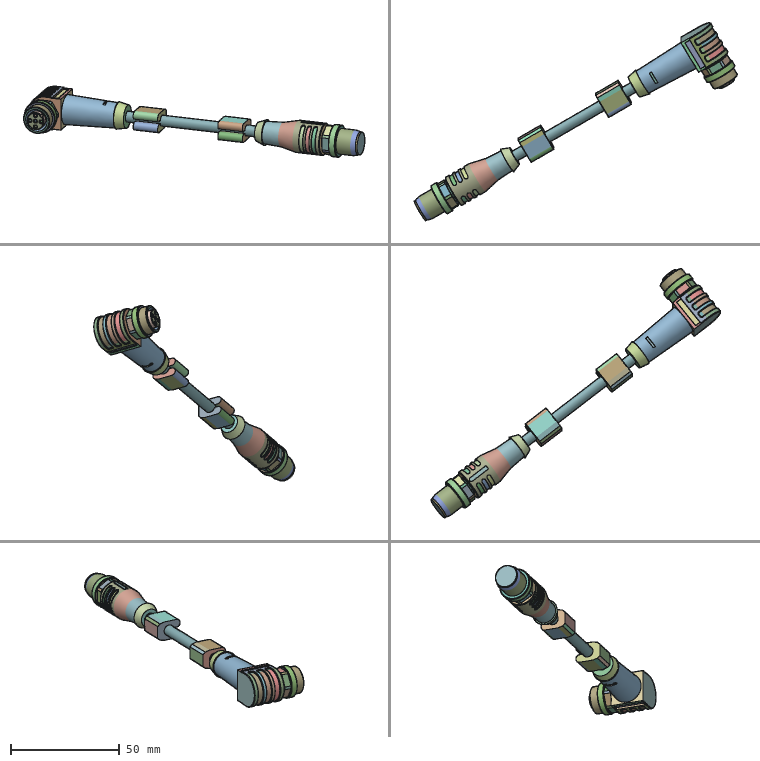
import cadquery as cq
import math


overall_length = 160.2
head_radius = 8.0
plug_tip_reach = 20.7
male_tip_x = overall_length - head_radius

cable_diameter = 5.1
male_neck_diameter = 9.3
female_neck_diameter = 10.0
collar_radius = 15.0 / 2
groove_depth = 0.5
overlap = 0.5

flange_end_x = 7.8
flange_start_x = 6.2
panel_start_x = 3.7
flange_half_height = 7.5
panel_recess = 0.5
panel_half_width = 7.0
head_groove_width = 3.0
head_groove_pitch = 4.5
head_groove_end_x = 2.1
head_groove_corner = 0.8
head_groove_bevel = 0.3
head_edge_chamfer = 0.3

boot_start_radius = 7.0
boot_waist_radius = 6.0
boot_ring_x = 33.0
boot_ring_radius = 6.4
boot_end_x = 37.6
boot_end_radius = 5.5
slit_x = 27.2
slit_width = 1.1
slit_half_length = 2.9

nut_start = 8.8
female_collar_start = 12.0
female_collar_end = 15.2
female_ring_end = 19.4
female_ring_radius = 12.8 / 2
female_mouth_radius = 10.5 / 2
socket_depth = 1.3
female_edge_chamfer = 0.3
insert_radius = 8.3 / 2
key_angle = -45
key_width = 1.1
key_depth = 0.6
contact_mouth_diameter = 2.0
contact_mouth_angle = 90
contact_diameter = 1.15
contact_circle_radius = 2.7
contact_depth = 4.8

nut_across_flats = 12.8
nut_corner_diameter = 14.1
collar_chamfer = 0.3

male_start_x = 101.5
male_ring_x = 105.5
male_start_radius = 4.5
male_ring_radius = 6.1
male_waist_radius = 5.3
male_flare_x = 113.7
male_flare_radius = 5.8
male_body_x = 121.4
male_body_end_x = 134.4
male_body_chamfer = 0.3
male_nut_x = 135.3
male_collar_x = 138.7
male_collar_end_x = 142.0
male_thread_radius = 12.0 / 2
male_thread_end_x = 149.1
male_taper_end_x = 151.4
male_taper_radius = 10.9 / 2
male_sleeve_radius = 10.5 / 2

grip_first_x = 125.3
grip_pitch = 3.0
grip_width = 2.0
grip_inner_y = 3.0
arrow_start_x = 123.2
arrow_shoulder_x = 132.8
arrow_tip_x = 133.7
arrow_half_width = 1.0
arrow_depth = 0.3

clip_starts = (42.6, 84.1)
clip_length = 12.0
clip_half_height = 9.1 / 2
clip_half_width = 12.0 / 2
clip_lobe_radius = 2.0
clip_gap_floor_y = -0.8
clip_top_end_y = 2.5
clip_shoulder_y = 4.8
clip_shoulder_z = 4.0
clip_side_z = 2.9


def turned_x(profile):
    """Solid of revolution about X from (x, radius) points."""
    outline = [(profile[0][0], 0)] + profile + [(profile[-1][0], 0)]
    return cq.Workplane("XY").polyline(outline).close().revolve(360, (0, 0, 0), (1, 0, 0))


def turned_y(profile):
    """Solid of revolution about -Y from (distance below the cable axis, radius) points."""
    outline = [(0, -profile[0][0])] + [(r, -d) for d, r in profile] + [(0, -profile[-1][0])]
    return cq.Workplane("XY").polyline(outline).close().revolve(360, (0, 0, 0), (0, 1, 0))


def chamfered_collar(start, end):
    """Collar profile with both edges broken."""
    small = collar_radius - collar_chamfer
    return [
        (start, small),
        (start + collar_chamfer, collar_radius),
        (end - collar_chamfer, collar_radius),
        (end, small),
    ]


def hex_nut(workplane, length):
    """Hexagon with its corners turned down."""
    across_corners = nut_across_flats / math.cos(math.pi / 6)
    hexagon = workplane.polygon(6, across_corners).extrude(length)
    return hexagon.intersect(workplane.circle(nut_corner_diameter / 2).extrude(length))


def head_blank(radius, half_length, end_x):
    """Half-round bar along Y, with flat top and bottom running to end_x."""
    return (
        cq.Workplane("XZ", origin=(0, half_length, 0))
        .moveTo(end_x, radius)
        .lineTo(0, radius)
        .threePointArc((-radius, 0), (0, -radius))
        .lineTo(end_x, -radius)
        .close()
        .extrude(2 * half_length)
    )


def angled_head():
    head = head_blank(head_radius, head_radius, panel_start_x)
    head = head.faces("<Y or >Y").chamfer(head_edge_chamfer)
    head = head.union(
        cq.Workplane("XY").box(flange_end_x, 2 * head_radius, 2 * flange_half_height, (False, True, True))
    )
    core = head_blank(head_radius - groove_depth, head_radius, flange_end_x)
    groove_length = head_groove_end_x + 2 * head_radius
    reach = head_radius - 0.5 * groove_depth
    floor_zone = ((-reach, -head_radius, -reach), (reach, head_radius, reach))
    for index in (-1, 0, 1):
        band = (
            cq.Workplane("XY")
            .center(head_groove_end_x - groove_length / 2, index * head_groove_pitch)
            .rect(groove_length, head_groove_width)
            .extrude(2 * head_radius, both=True)
            .edges("|Z and >X")
            .fillet(head_groove_corner)
        )
        cutter = band.cut(core)
        floor = cutter.faces(cq.selectors.BoxSelector(*floor_zone))
        head = head.cut(floor.edges("not |Y").chamfer(head_groove_bevel))
    panel_length = flange_start_x - panel_start_x
    for side in (-1, 1):
        panel = cq.Workplane("XY").box(panel_length, 2 * panel_half_width, 2 * panel_recess)
        panel_x = panel_start_x + panel_length / 2
        head = head.cut(panel.translate((panel_x, 0, side * flange_half_height)))
    return head


def boot():
    body = turned_x([
        (flange_end_x - overlap, boot_start_radius),
        (boot_ring_x, boot_waist_radius),
        (boot_ring_x, boot_ring_radius),
        (boot_end_x, boot_end_radius),
    ])
    local_radius = boot_waist_radius + (boot_start_radius - boot_waist_radius) * (
        (boot_ring_x - slit_x) / (boot_ring_x - flange_end_x)
    )
    floor_z = math.sqrt(local_radius**2 - slit_half_length**2)
    for side in (-1, 1):
        slit = cq.Workplane("XY").box(slit_width, 2 * head_radius, head_radius, (True, True, False))
        slit = slit.translate((slit_x, 0, floor_z))
        if side < 0:
            slit = slit.mirror("XY")
        body = body.cut(slit)
    return body


def female_plug():
    plug = turned_y([
        (head_radius - overlap, female_neck_diameter / 2),
        (nut_start + overlap, female_neck_diameter / 2),
    ])
    nut_plane = cq.Workplane("XZ", origin=(0, -nut_start, 0))
    plug = plug.union(hex_nut(nut_plane, female_collar_start - nut_start))
    plug = plug.union(turned_y(chamfered_collar(female_collar_start, female_collar_end)))
    plug = plug.union(turned_y([
        (female_collar_end - overlap, female_ring_radius),
        (female_ring_end - female_edge_chamfer, female_ring_radius),
        (female_ring_end, female_ring_radius - female_edge_chamfer),
    ]))
    plug = plug.cut(turned_y([
        (female_ring_end - socket_depth, insert_radius),
        (female_ring_end, female_mouth_radius),
    ]))
    return plug.union(contact_insert())


def contact_insert():
    insert = turned_y([
        (female_ring_end - socket_depth - overlap, insert_radius),
        (plug_tip_reach - female_edge_chamfer, insert_radius),
        (plug_tip_reach, insert_radius - female_edge_chamfer),
    ])
    key = cq.Workplane("XZ", origin=(0, socket_depth - female_ring_end, 0))
    key = key.center(insert_radius, 0).rect(2 * key_depth, key_width).extrude(plug_tip_reach)
    insert = insert.cut(key.rotate((0, 0, 0), (0, 1, 0), key_angle))
    places = [(0, 0)]
    for angle in (0, math.pi / 2, math.pi, 3 * math.pi / 2):
        places.append((contact_circle_radius * math.cos(angle), contact_circle_radius * math.sin(angle)))
    tip = cq.Workplane("XZ", origin=(0, -plug_tip_reach, 0))
    return insert.copyWorkplane(tip).pushPoints(places).cskHole(
        contact_diameter, contact_mouth_diameter, contact_mouth_angle, contact_depth
    )


def male_plug():
    body = turned_x([
        (male_start_x, male_start_radius),
        (male_ring_x, male_ring_radius),
        (male_ring_x, male_waist_radius),
        (male_flare_x, male_flare_radius),
        (male_body_x, collar_radius),
        (male_body_end_x - male_body_chamfer, collar_radius),
        (male_body_end_x, collar_radius - male_body_chamfer),
    ])
    body = body.cut(grip_grooves()).cut(arrow_mark())
    neck = turned_x([
        (male_body_end_x - overlap, male_neck_diameter / 2),
        (male_nut_x + overlap, male_neck_diameter / 2),
    ])
    nut_plane = cq.Workplane("YZ", origin=(male_nut_x, 0, 0)).transformed(rotate=(0, 0, 90))
    nut = hex_nut(nut_plane, male_collar_x - male_nut_x)
    collar = turned_x(chamfered_collar(male_collar_x, male_collar_end_x))
    thread = turned_x([
        (male_collar_end_x - overlap, male_thread_radius),
        (male_thread_end_x, male_thread_radius),
        (male_taper_end_x, male_taper_radius),
        (male_taper_end_x, male_sleeve_radius),
        (male_tip_x, male_sleeve_radius),
    ])
    return body.union(neck).union(nut).union(collar).union(thread)


def grip_grooves():
    """Three shallow bands on each side of the male body, with rounded ends at top and bottom."""
    band_length = 2 * collar_radius
    places = []
    for index in range(3):
        for side in (-1, 1):
            y = side * (grip_inner_y + band_length / 2)
            places.append((grip_first_x + index * grip_pitch, y))
    bands = (
        cq.Workplane("XY")
        .pushPoints(places)
        .slot2D(band_length, grip_width, 90)
        .extrude(2 * collar_radius, both=True)
    )
    core_radius = collar_radius - groove_depth
    return bands.cut(turned_x([(male_body_x, core_radius), (male_body_end_x, core_radius)]))


def arrow_mark():
    """Shallow arrow in the top of the male body, pointing at its coupling nut."""
    return (
        cq.Workplane("XY", origin=(0, 0, collar_radius - arrow_depth))
        .polyline([
            (arrow_start_x, -arrow_half_width),
            (arrow_shoulder_x, -arrow_half_width),
            (arrow_tip_x, 0),
            (arrow_shoulder_x, arrow_half_width),
            (arrow_start_x, arrow_half_width),
        ])
        .close()
        .extrude(collar_radius)
    )


def cable():
    radius = cable_diameter / 2
    return turned_x([(boot_end_x - overlap, radius), (male_start_x + overlap, radius)])


def clip(start_x):
    """Snap-on clip: closed at +Y, two round-nosed jaws with a gap at -Y."""
    lobe_y = clip_lobe_radius - clip_half_width
    lobe_z = clip_half_height - clip_lobe_radius
    gap_z = lobe_z - clip_lobe_radius
    return (
        cq.Workplane("YZ", origin=(start_x, 0, 0))
        .moveTo(clip_top_end_y, clip_half_height)
        .lineTo(lobe_y, clip_half_height)
        .threePointArc((-clip_half_width, lobe_z), (lobe_y, gap_z))
        .lineTo(clip_gap_floor_y, gap_z)
        .lineTo(clip_gap_floor_y, -gap_z)
        .lineTo(lobe_y, -gap_z)
        .threePointArc((-clip_half_width, -lobe_z), (lobe_y, -clip_half_height))
        .lineTo(clip_top_end_y, -clip_half_height)
        .lineTo(clip_shoulder_y, -clip_shoulder_z)
        .lineTo(clip_half_width, -clip_side_z)
        .lineTo(clip_half_width, clip_side_z)
        .lineTo(clip_shoulder_y, clip_shoulder_z)
        .close()
        .extrude(clip_length)
    )


result = angled_head().union(boot()).union(female_plug()).union(cable()).union(male_plug())
for clip_x in clip_starts:
    result = result.union(clip(clip_x))